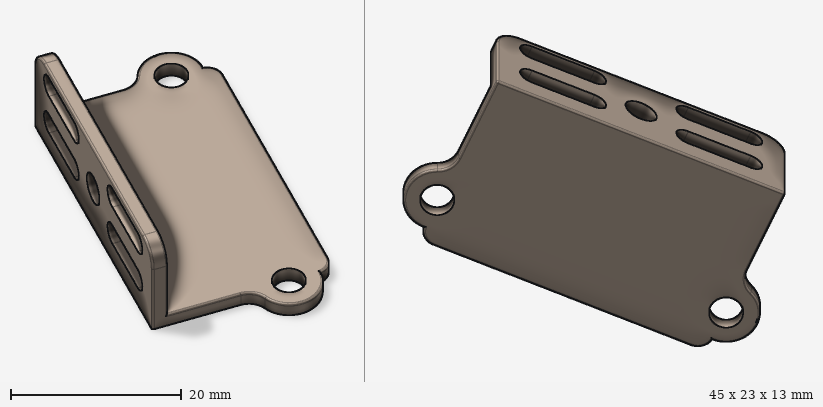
import cadquery as cq
import math


body_width = 37.0
depth = 23.0
height = 13.0
thickness = 2.0
edge_radius = 0.27

back_corner_radius = 2.0
ear_radius = 4.0
ear_hole_diameter = 4.0
ear_y = 17.3
ear_blend_radius = 2.65

wall_corner_radius = 3.0
slot_length = 11.0
slot_width = 3.0
slot_x = 10.0
lower_slot_z = 4.5
slot_rows = 2
slot_pitch_z = 6.0
wall_hole_diameter = 4.0
wall_hole_z = 6.5

half_width = body_width / 2


def polar(center, radius, angle):
    """Point at an angle (radians) on a circle."""
    return (center[0] + radius * math.cos(angle), center[1] + radius * math.sin(angle))


def mirrored(point):
    """Same point on the left half of the bracket."""
    return (-point[0], point[1])


def base_outline():
    """Closed base profile: body, round ears, and concave blends in front of the ears."""
    ear = (half_width, ear_y)

    center_distance = ear_radius + ear_blend_radius
    blend_drop = math.sqrt(center_distance**2 - ear_blend_radius**2)
    blend = (half_width + ear_blend_radius, ear_y - blend_drop)
    ear_to_blend = math.atan2(-blend_drop, ear_blend_radius)
    blend_to_ear = ear_to_blend + math.pi
    blend_start = (half_width, blend[1])
    blend_middle = polar(blend, ear_blend_radius, (blend_to_ear + math.pi) / 2)
    ear_start = polar(ear, ear_radius, ear_to_blend)

    corner = (half_width - back_corner_radius, depth - back_corner_radius)
    dx = corner[0] - ear[0]
    dy = corner[1] - ear[1]
    distance = math.hypot(dx, dy)
    reach = (distance**2 + ear_radius**2 - back_corner_radius**2) / (2 * distance)
    ear_end_angle = math.atan2(dy, dx) - math.acos(reach / ear_radius)
    ear_end = polar(ear, ear_radius, ear_end_angle)
    ear_middle = polar(ear, ear_radius, (ear_to_blend + ear_end_angle) / 2)

    corner_start_angle = math.atan2(ear_end[1] - corner[1], ear_end[0] - corner[0])
    corner_middle = polar(corner, back_corner_radius, (corner_start_angle + math.pi / 2) / 2)
    corner_end = (corner[0], depth)

    return (
        cq.Workplane("XY")
        .moveTo(-half_width, 0)
        .lineTo(half_width, 0)
        .lineTo(*blend_start)
        .threePointArc(blend_middle, ear_start)
        .threePointArc(ear_middle, ear_end)
        .threePointArc(corner_middle, corner_end)
        .lineTo(*mirrored(corner_end))
        .threePointArc(mirrored(corner_middle), mirrored(ear_end))
        .threePointArc(mirrored(ear_middle), mirrored(ear_start))
        .threePointArc(mirrored(blend_middle), mirrored(blend_start))
        .close()
    )


def make_base():
    return base_outline().extrude(thickness)


def make_wall():
    wall = cq.Workplane("XY").box(body_width, thickness, height, centered=(True, False, False))
    return wall.edges("|Y and >Z").fillet(wall_corner_radius)


def round_outlines(bracket):
    """Round the outlines of the four large faces; the inside bend line stays sharp."""
    base_top_center = (0, depth / 2, thickness)
    wall_back_center = (0, thickness, height / 2)
    outer_faces = bracket.faces("<Z or <Y")
    inner_faces = bracket.faces(cq.NearestToPointSelector(base_top_center)).add(
        bracket.faces(cq.NearestToPointSelector(wall_back_center))
    )
    inside_bend = bracket.edges(cq.NearestToPointSelector((0, thickness, thickness))).val()
    outline_edges = outer_faces.edges().add(inner_faces.edges()).vals()
    rounded_edges = [edge for edge in outline_edges if not edge.isSame(inside_bend)]
    return bracket.newObject(rounded_edges).fillet(edge_radius)


def cut_ear_holes(bracket):
    holes = (
        cq.Workplane("XY")
        .pushPoints([(-half_width, ear_y), (half_width, ear_y)])
        .circle(ear_hole_diameter / 2)
        .extrude(thickness)
    )
    return bracket.cut(holes)


def cut_wall_openings(bracket):
    slot_centers = [
        (x, lower_slot_z + row * slot_pitch_z)
        for x in (-slot_x, slot_x)
        for row in range(slot_rows)
    ]
    wall_plane = cq.Workplane("XZ")
    slots = wall_plane.pushPoints(slot_centers).slot2D(slot_length, slot_width).extrude(-thickness)
    hole = wall_plane.center(0, wall_hole_z).circle(wall_hole_diameter / 2).extrude(-thickness)
    return bracket.cut(slots).cut(hole)


bracket = make_base().union(make_wall())
bracket = round_outlines(bracket)
bracket = cut_ear_holes(bracket)
result = cut_wall_openings(bracket)